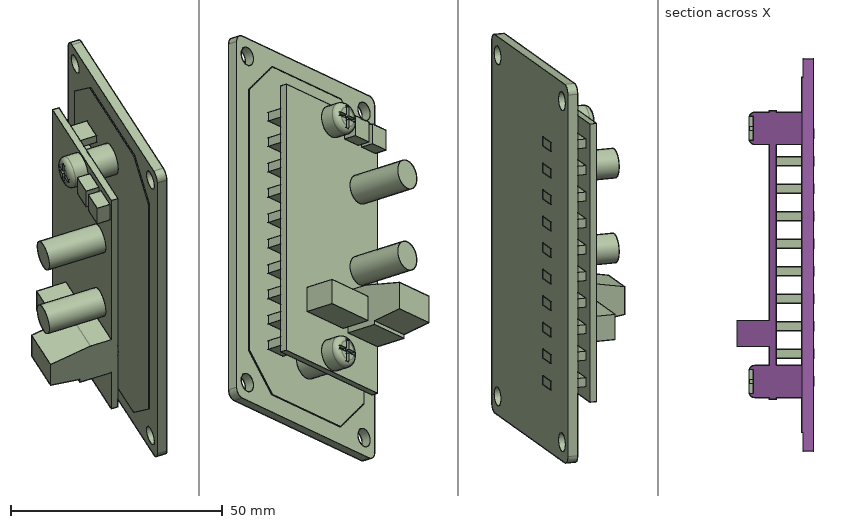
import cadquery as cq


PANEL_WIDTH = 51.45
PANEL_HEIGHT = 92.78
PANEL_THICKNESS = 2.5
PANEL_CORNER_RADIUS = 2.1
PAD_INSET = 4.4
PAD_CHAMFER = 8.6
PAD_THICKNESS = 0.3
HOLE_DIAMETER = 4.5
HOLE_INSET_X = 4.0
HOLE_INSET_Z = 4.6
pad_front = PANEL_THICKNESS + PAD_THICKNESS

BOARD_WIDTH = 34.0
BOARD_HEIGHT = 68.2
BOARD_THICKNESS = 1.7
STANDOFF_LENGTH = 6.0
board_back = pad_front + STANDOFF_LENGTH
board_front = board_back + BOARD_THICKNESS
board_right = BOARD_WIDTH / 2

SCREW_DIAMETER = 7.7
SCREW_Z = 29.9
SCREW_HEAD_HEIGHT = 4.8
SCREW_HEAD_FILLET = 1.5
CROSS_LENGTH = 5.6
CROSS_WIDTH = 0.9
CROSS_DEPTH = 1.0

BAR_COUNT = 10
BAR_PITCH = 6.5
BAR_WIDTH = 5.5
BAR_HEIGHT = 2.2
BAR_X = -11.55
BAR_COLUMN_Z = -0.6
BAR_PROTRUSION = 0.1

BLOCK_SIZE = 5.1
BLOCK_HEIGHT = 3.3
BLOCK_PITCH = 6.4
BLOCK_FIRST_X = 7.25
BLOCK_Z = 29.6

CYLINDER_DIAMETER = 7.1
CYLINDER_HEIGHT = 14.6
CYLINDER_X = 10.3
CYLINDER_Z = (15.9, -4.9)

PLUG_WIDTH = 13.4
PLUG_DEPTH = 7.6
PLUG_HEIGHT = 6.2
PLUG_X = -2.5
PLUG_Z = -18.55

OVERALL_DEPTH = 26.32
CONNECTOR_WIDTH = 11.0
CONNECTOR_TOP_Z = -11.4
CONNECTOR_BOTTOM_Z = -22.2
CONNECTOR_NOSE_TOP_Z = -13.4
CONNECTOR_NOSE_BOTTOM_Z = -20.2
CONNECTOR_LIP = 0.95
TOP_TAPER_START = 15.9
BOTTOM_TAPER_START = 18.6
connector_front = OVERALL_DEPTH - BAR_PROTRUSION


def plane_at(depth, x, z):
    """Workplane facing -Y at the given depth, with its origin at (x, z)."""
    return cq.Workplane("XZ", origin=(x, -depth, z))


def block(width, height, back, front, x=0, z=0):
    """Box centred on (x, z) that runs between two depths."""
    return plane_at(back, x, z).rect(width, height).extrude(front - back)


def rod(diameter, back, front, x, z):
    """Cylinder along Y, centred on (x, z), that runs between two depths."""
    return plane_at(back, x, z).circle(diameter / 2).extrude(front - back)


def display_bars(back, front):
    """One block for each bar of the display column."""
    bars = []
    for index in range(BAR_COUNT):
        z = BAR_COLUMN_Z + (index - (BAR_COUNT - 1) / 2) * BAR_PITCH
        bars.append(block(BAR_WIDTH, BAR_HEIGHT, back, front, BAR_X, z))
    return bars


def make_panel():
    plate = block(PANEL_WIDTH, PANEL_HEIGHT, 0, PANEL_THICKNESS).edges("|Y").fillet(PANEL_CORNER_RADIUS)
    pad = block(PANEL_WIDTH - 2 * PAD_INSET, PANEL_HEIGHT - 2 * PAD_INSET, PANEL_THICKNESS, pad_front)
    panel = plate.union(pad.edges("|Y").chamfer(PAD_CHAMFER))
    hole_x = PANEL_WIDTH / 2 - HOLE_INSET_X
    hole_z = PANEL_HEIGHT / 2 - HOLE_INSET_Z
    for x in (-hole_x, hole_x):
        for z in (-hole_z, hole_z):
            panel = panel.cut(rod(HOLE_DIAMETER, 0, PANEL_THICKNESS, x, z))
    for window in display_bars(0, pad_front):
        panel = panel.cut(window)
    return panel


def make_screw(z):
    """Standoff and screw head in line, with a cross recess in the rounded head."""
    head_front = board_front + SCREW_HEAD_HEIGHT
    screw = rod(SCREW_DIAMETER, pad_front, head_front, 0, z).faces("<Y").edges().fillet(SCREW_HEAD_FILLET)
    recess_floor = head_front - CROSS_DEPTH
    screw = screw.cut(block(CROSS_LENGTH, CROSS_WIDTH, recess_floor, head_front, 0, z))
    return screw.cut(block(CROSS_WIDTH, CROSS_LENGTH, recess_floor, head_front, 0, z))


def make_connector():
    """Tapered nose with a small lip below it, drawn in the YZ plane and extruded along X."""
    profile = [
        (-board_front, CONNECTOR_TOP_Z),
        (-TOP_TAPER_START, CONNECTOR_TOP_Z),
        (-connector_front, CONNECTOR_NOSE_TOP_Z),
        (-connector_front, CONNECTOR_NOSE_BOTTOM_Z),
        (-BOTTOM_TAPER_START, CONNECTOR_BOTTOM_Z + CONNECTOR_LIP),
        (-BOTTOM_TAPER_START, CONNECTOR_BOTTOM_Z),
        (-board_front, CONNECTOR_BOTTOM_Z),
    ]
    left_side = cq.Workplane("YZ").workplane(offset=board_right - CONNECTOR_WIDTH)
    return left_side.polyline(profile).close().extrude(CONNECTOR_WIDTH)


def make_board():
    """Circuit board in one piece with its standoffs, screws, display bars and components."""
    board = block(BOARD_WIDTH, BOARD_HEIGHT, board_back, board_front)
    for z in (-SCREW_Z, SCREW_Z):
        board = board.union(make_screw(z))
    for bar in display_bars(-BAR_PROTRUSION, board_back):
        board = board.union(bar)
    for x in (BLOCK_FIRST_X, BLOCK_FIRST_X + BLOCK_PITCH):
        square_block = block(BLOCK_SIZE, BLOCK_SIZE, board_front, board_front + BLOCK_HEIGHT, x, BLOCK_Z)
        board = board.union(square_block)
    for z in CYLINDER_Z:
        cylinder = rod(CYLINDER_DIAMETER, board_front, board_front + CYLINDER_HEIGHT, CYLINDER_X, z)
        board = board.union(cylinder)
    plug = block(PLUG_WIDTH, PLUG_HEIGHT, board_front, board_front + PLUG_DEPTH, PLUG_X, PLUG_Z)
    return board.union(plug).union(make_connector())


panel = make_panel()
board = make_board()

result = cq.Compound.makeCompound([panel.val(), board.val()])